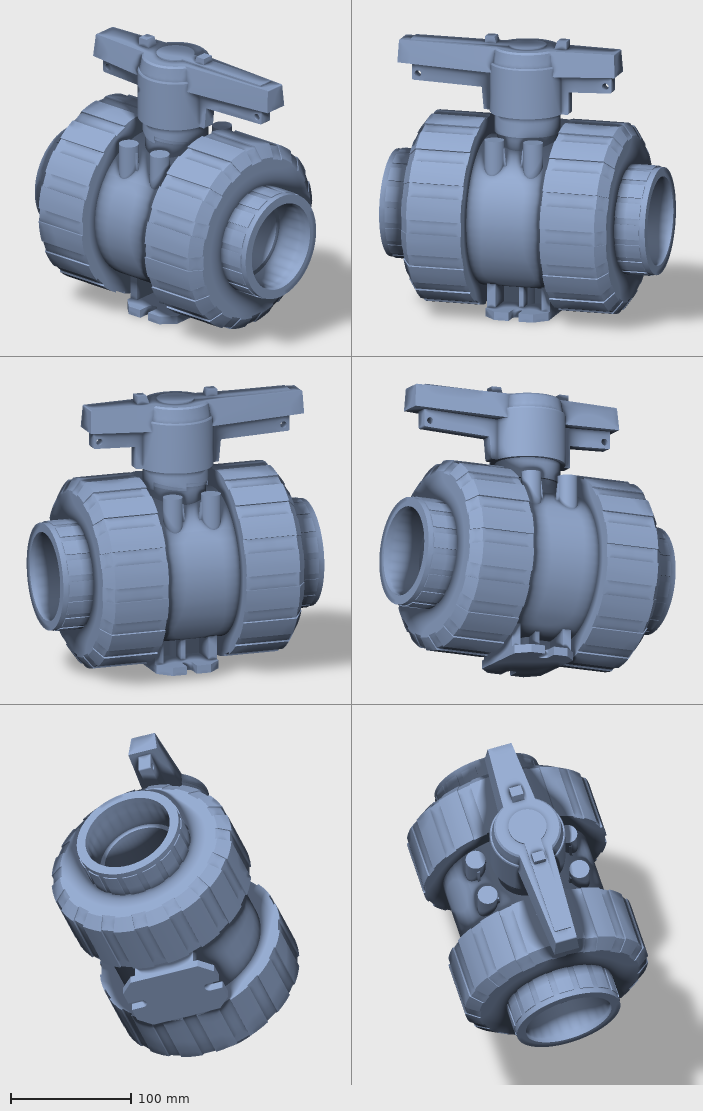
import cadquery as cq
import math


overall_length = 231.0
bore_radius = 32.3
pipe_radius = 45.2
socket_mouth_radius = 37.4
socket_end_radius = 36.3
socket_depth = 32.6

nut_inner_x = 34.4
nut_outer_x = 89.2
nut_radius = 80.0
nut_chamfer_length = 7.5
nut_chamfer_height = 10.1
nut_lip = 12.0
groove_count = 16
groove_width = 12.1
groove_depth = 1.6

pad_count = 16
pad_angle = 16.0
pad_height = 0.9
pad_margin = 4.9

body_radius = 63.0
body_half_length = nut_outer_x - nut_lip
neck_radius = 25.3
collar_radius = 27.5
collar_bottom = 69.6
collar_top = 86.7
ramp_angle = 62.0
collar_ramps = [
    (-ramp_angle / 2, 76.4, 72.4, 72.4, 69.9),
    (ramp_angle / 2, 76.9, 73.6, 73.3, 71.0),
]

post_radius = 8.3
post_x = 16.9
post_y = 40.0
post_top = 69.6
fin_thickness = 2.0
fin_top = 63.0
fin_foot = 47.0
fin_top_reach = 0.7
fin_foot_reach = 2.5
fin_offset = 2.4

foot_bottom = -84.6
plate_thickness = 7.0
plate_top = foot_bottom + plate_thickness
plate_width = 54.8
plate_length = 80.6
plate_corner = 10.6
slot_width = 8.6
slot_center_y = 30.0
leg_width = 7.5
leg_length = 51.6
web_thickness = 4.0
web_length = 37.0
boss_radius = 7.2

arm_left = -79.4
arm_right = 110.0
arm_top = 142.2
arm_bottom = 121.0
arm_end_bottom = 122.8
arm_flat_half = 30.0
arm_end_draft = 1.0
arm_end_fillet = 1.0
hub_radius = 31.6
hub_edge = 128.2
hub_shoulder = 129.6
hub_edge_bevel = 0.6
cap_base_radius = 29.9
cap_top_radius = 28.0
cap_chamfer = 1.5
grip_thickness = 10.8
grip_fillet = 1.2
lug_top = 233.83 + foot_bottom
lug_width = 10.2
label_height = 1.5
label_radius = 15.9
label_strip_width = 14.2
label_right = 99.0
hole_radius = 2.8
hole_z = 113.1
hole_left = -69.3
hole_right = 93.7


def x_cylinder(radius, x_start, x_end):
    return cq.Workplane("YZ").workplane(offset=x_start).circle(radius).extrude(x_end - x_start)


def z_cylinder(radius, z_bottom, z_top, x=0.0, y=0.0):
    return cq.Workplane("XY", origin=(x, y, z_bottom)).circle(radius).extrude(z_top - z_bottom)


def block(x_min, x_max, y_min, y_max, z_min, z_max):
    size = (x_max - x_min, y_max - y_min, z_max - z_min)
    return cq.Workplane("XY").box(*size, centered=False).translate((x_min, y_min, z_min))


def nut_blank(radius):
    """Plain ring with a conical outer end, threaded over the body and lipped around the pipe end."""
    return (
        cq.Workplane("XY")
        .moveTo(nut_inner_x, body_radius)
        .lineTo(nut_inner_x, radius)
        .lineTo(nut_outer_x - nut_chamfer_length, radius)
        .lineTo(nut_outer_x, radius - nut_chamfer_height)
        .lineTo(nut_outer_x, pipe_radius + pad_height)
        .lineTo(body_half_length, pipe_radius + pad_height)
        .lineTo(body_half_length, body_radius)
        .close()
        .revolve(360, (0, 0, 0), (1, 0, 0))
    )


def make_nut():
    floor = nut_blank(nut_radius - groove_depth)
    teeth = nut_blank(nut_radius)
    for index in range(groove_count):
        strip = block(0, overall_length, -groove_width / 2, groove_width / 2, body_radius, nut_radius + 1)
        teeth = teeth.cut(strip.rotate((0, 0, 0), (1, 0, 0), index * 360 / groove_count))
    return floor.union(teeth)


def make_pipe_end():
    x_outer = overall_length / 2
    socket_bottom = x_outer - socket_depth
    end = x_cylinder(pipe_radius, body_half_length, x_outer)
    collar = x_cylinder(pipe_radius + pad_height, body_half_length, nut_outer_x)
    pad_ring = x_cylinder(pipe_radius + pad_height, nut_outer_x, x_outer - pad_margin)
    reach = 2 * pipe_radius
    half_spread = reach * math.tan(math.radians(pad_angle / 2))
    sector = (
        cq.Workplane("YZ")
        .polyline([(0, 0), (reach, -half_spread), (reach, half_spread)])
        .close()
        .extrude(overall_length)
    )
    end = end.union(collar)
    for index in range(pad_count):
        turned = sector.rotate((0, 0, 0), (1, 0, 0), index * 360 / pad_count)
        end = end.union(pad_ring.intersect(turned))
    passage = (
        cq.Workplane("XY")
        .moveTo(0, 0)
        .lineTo(0, bore_radius)
        .lineTo(socket_bottom, bore_radius)
        .lineTo(socket_bottom, socket_end_radius)
        .lineTo(x_outer, socket_mouth_radius)
        .lineTo(x_outer, 0)
        .close()
        .revolve(360, (0, 0, 0), (1, 0, 0))
    )
    return end.cut(passage)


def make_ramp(radius, z_high, z_low):
    """Tool that trims the collar below a line falling along the arc, clearing outside the radius."""
    reach = 2 * collar_radius
    half = math.radians(ramp_angle / 2)
    sector = (
        cq.Workplane("XY", origin=(0, 0, collar_bottom))
        .polyline([(0, 0), (-reach * math.sin(half), -reach * math.cos(half)),
                   (reach * math.sin(half), -reach * math.cos(half))])
        .close()
        .extrude(collar_top - collar_bottom)
    )
    half_chord = collar_radius * math.sin(half)
    below = (
        cq.Workplane("XZ")
        .polyline([(-half_chord, collar_bottom), (half_chord, collar_bottom),
                   (half_chord, z_low), (-half_chord, z_high)])
        .close()
        .extrude(reach)
    )
    return sector.intersect(below).cut(z_cylinder(radius, collar_bottom, collar_top))


def make_neck():
    neck = z_cylinder(neck_radius, 0, collar_bottom)
    collar = z_cylinder(collar_radius, collar_bottom, collar_top)
    middle_radius = (neck_radius + collar_radius) / 2
    for center_angle, upper_start, upper_end, lower_start, lower_end in collar_ramps:
        upper = make_ramp(middle_radius, upper_start, upper_end)
        lower = make_ramp(neck_radius, lower_start, lower_end)
        for ramp in (upper, lower):
            collar = collar.cut(ramp.rotate((0, 0, 0), (0, 0, 1), center_angle))
    return neck.union(collar)


def make_fin():
    """Tapered fin leaning against a post centred on the Z axis, pointing to +X."""
    return (
        cq.Workplane("XZ")
        .polyline([(0, 0), (0, fin_top), (post_radius + fin_top_reach, fin_top),
                   (post_radius + fin_foot_reach, fin_foot), (post_radius + fin_foot_reach, 0)])
        .close()
        .extrude(fin_thickness / 2, both=True)
    )


def make_post():
    """Stop post in the (-X, -Y) quarter, with one fin along the body and one towards the neck."""
    post = z_cylinder(post_radius, 0, post_top)
    neck_fin = make_fin().rotate((0, 0, 0), (0, 0, 1), 90).translate((-fin_offset, 0, 0))
    return post.union(make_fin()).union(neck_fin).translate((-post_x, -post_y, 0))


def make_foot():
    half_width = plate_width / 2
    half_length = plate_length / 2
    foot = block(-half_width, half_width, -half_length, half_length, foot_bottom, plate_top)
    foot = foot.edges("|Z").chamfer(plate_corner)
    for side in (-1, 1):
        slot_end = side * slot_center_y
        slot_mouth = side * plate_length
        foot = foot.cut(z_cylinder(slot_width / 2, foot_bottom, plate_top, y=slot_end))
        foot = foot.cut(block(-slot_width / 2, slot_width / 2, min(slot_end, slot_mouth),
                              max(slot_end, slot_mouth), foot_bottom, plate_top))
        leg_x = side * (half_width - leg_width / 2)
        foot = foot.union(block(leg_x - leg_width / 2, leg_x + leg_width / 2,
                                -leg_length / 2, leg_length / 2, plate_top, -bore_radius))
    cross_web = block(-half_width, half_width, -web_thickness / 2, web_thickness / 2, plate_top, -bore_radius)
    long_web = block(-web_thickness / 2, web_thickness / 2, -web_length / 2, web_length / 2,
                     plate_top, -bore_radius)
    boss = z_cylinder(boss_radius, plate_top, -bore_radius)
    return foot.union(cross_web).union(long_web).union(boss)


def make_body():
    body = x_cylinder(body_radius, -body_half_length, body_half_length)
    body = body.union(make_neck()).union(make_foot())
    post = make_post()
    post_pair = post.union(post.mirror("YZ"))
    body = body.union(post_pair).union(post_pair.mirror("XZ"))
    return body.cut(x_cylinder(bore_radius, -body_half_length, body_half_length))


def make_arms():
    """Two tapering arms: drafted sides from a loft, ends and sloping underside from a side outline."""
    def plan(left, middle, right):
        return [(arm_left, -left), (0, -middle), (arm_right, -right),
                (arm_right, right), (0, middle), (arm_left, left)]

    drafted = (
        cq.Workplane("XY", origin=(0, 0, arm_bottom))
        .polyline(plan(12.9, 18.5, 10.9))
        .close()
        .workplane(offset=arm_top - arm_bottom)
        .polyline(plan(10.2, 15.4, 9.1))
        .close()
        .loft(ruled=True)
    )
    side = (
        cq.Workplane("XZ")
        .polyline([(arm_left, arm_end_bottom), (-arm_flat_half, arm_bottom), (arm_flat_half, arm_bottom),
                   (arm_right, arm_end_bottom), (arm_right - arm_end_draft, arm_top),
                   (arm_left + arm_end_draft, arm_top)])
        .close()
        .extrude(hub_radius, both=True)
        .edges("|Y and >Z")
        .fillet(arm_end_fillet)
    )
    return drafted.intersect(side)


def make_hub():
    return (
        cq.Workplane("XZ")
        .moveTo(0, collar_top)
        .lineTo(hub_radius, collar_top)
        .lineTo(hub_radius, hub_edge)
        .lineTo(hub_radius - hub_edge_bevel, hub_shoulder)
        .lineTo(cap_base_radius, hub_shoulder)
        .lineTo(cap_top_radius, arm_top - cap_chamfer)
        .lineTo(cap_top_radius - cap_chamfer, arm_top)
        .lineTo(0, arm_top)
        .close()
        .revolve(360, (0, 0, 0), (0, 1, 0))
    )


def make_grip_web():
    """Thin stepped plate below the arms, deepest beside the hub, with a hole near each tip."""
    web = (
        cq.Workplane("XZ")
        .polyline([(-74.5, arm_end_bottom), (-74.5, 107.6), (-37.2, 106.0), (-37.2, collar_top),
                   (36.5, collar_top), (38.2, 105.6), (98.9, 107.6), (98.9, arm_end_bottom)])
        .close()
        .extrude(grip_thickness / 2, both=True)
        .edges("|Y and (<Z or <X or >X)")
        .edges("not >Z")
        .fillet(grip_fillet)
    )
    holes = (
        cq.Workplane("XZ")
        .pushPoints([(hole_left, hole_z), (hole_right, hole_z)])
        .circle(hole_radius)
        .extrude(grip_thickness, both=True)
    )
    return web.cut(holes)


def make_lug(inner_foot, inner_top, outer):
    return (
        cq.Workplane("XZ")
        .polyline([(inner_foot, arm_top), (inner_top, lug_top), (outer, lug_top), (outer, arm_top)])
        .close()
        .extrude(lug_width / 2, both=True)
    )


def make_handle():
    label_top = arm_top + label_height
    label = z_cylinder(label_radius, arm_top, label_top)
    label = label.union(block(0, label_right, -label_strip_width / 2, label_strip_width / 2,
                              arm_top, label_top))
    handle = make_hub().union(make_arms()).union(make_grip_web()).union(label)
    handle = handle.union(make_lug(-24.9, -27.4, -35.6))
    return handle.union(make_lug(25.2, 27.3, 35.4))


valve_body = make_body()
handle = make_handle()
right_nut = make_nut()
right_end = make_pipe_end()
nuts = [right_nut, right_nut.mirror("YZ")]
pipe_ends = [right_end, right_end.mirror("YZ")]

result = cq.Compound.makeCompound(
    [valve_body.val(), handle.val()] + [nut.val() for nut in nuts] + [end.val() for end in pipe_ends]
)